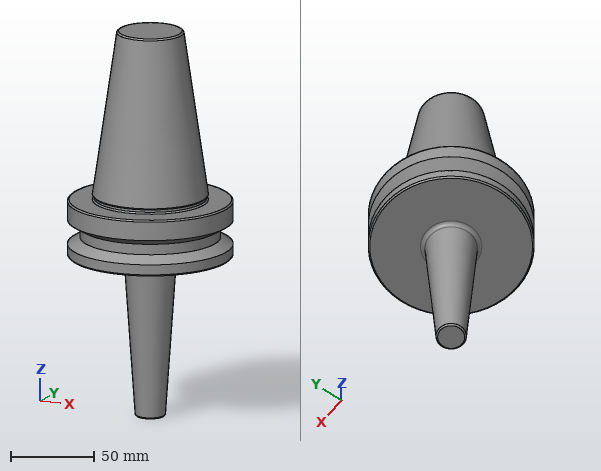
import cadquery as cq

total_length = 239.8
flange_radius = 50.0
edge_chamfer = 1.0

taper_length = 101.7
gauge_radius = 35.0
taper_half_slope = 7 / 48
shank_end_radius = gauge_radius - taper_length * taper_half_slope

neck_length = 3.4
neck_radius = 34.0
neck_step = gauge_radius - neck_radius

flange_height = 34.8
upper_rim_height = 12.5
groove_radius = 42.5
groove_flank_height = 4.3
groove_floor_height = 6.5

nose_base_radius = 15.8
nose_tip_radius = 9.0
nose_fillet = 2.6

gauge_z = total_length - taper_length
flange_top = gauge_z - neck_length
flange_bottom = flange_top - flange_height
groove_top = flange_top - upper_rim_height
floor_top = groove_top - groove_flank_height
floor_bottom = floor_top - groove_floor_height
groove_bottom = floor_bottom - groove_flank_height


def make_shank():
    """Tapered shank with a chamfered end face."""
    return (
        cq.Workplane("XZ")
        .moveTo(0, flange_top)
        .lineTo(gauge_radius, flange_top)
        .lineTo(neck_radius, flange_top + neck_step)
        .lineTo(neck_radius, gauge_z - neck_step)
        .lineTo(gauge_radius, gauge_z)
        .lineTo(shank_end_radius, total_length)
        .lineTo(0, total_length)
        .close()
        .revolve(360, (0, 0, 0), (0, 1, 0))
        .faces(">Z")
        .chamfer(edge_chamfer)
    )


def make_flange():
    """Gripper flange with a V-groove and chamfered outer edges."""
    return (
        cq.Workplane("XZ")
        .moveTo(0, flange_bottom)
        .lineTo(flange_radius, flange_bottom)
        .lineTo(flange_radius, groove_bottom)
        .lineTo(groove_radius, floor_bottom)
        .lineTo(groove_radius, floor_top)
        .lineTo(flange_radius, groove_top)
        .lineTo(flange_radius, flange_top)
        .lineTo(0, flange_top)
        .close()
        .revolve(360, (0, 0, 0), (0, 1, 0))
        .faces("<Z or >Z")
        .chamfer(edge_chamfer)
    )


def make_nose():
    """Slender nose, flared into the flange and chamfered at its tip."""
    fillet_start = flange_bottom - nose_fillet
    return (
        cq.Workplane("XZ")
        .lineTo(nose_tip_radius, 0)
        .lineTo(nose_base_radius, fillet_start)
        .radiusArc((nose_base_radius + nose_fillet, flange_bottom), nose_fillet)
        .lineTo(0, flange_bottom)
        .close()
        .revolve(360, (0, 0, 0), (0, 1, 0))
        .faces("<Z")
        .chamfer(edge_chamfer)
    )


result = make_flange().union(make_shank()).union(make_nose())